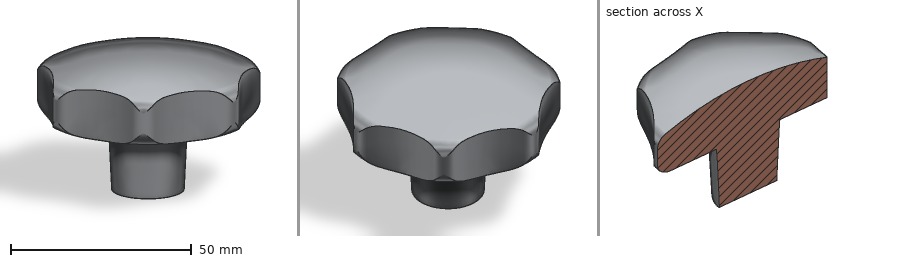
import cadquery as cq
import math

lobe_count = 7
head_radius = 31.5
scallop_depth = 4.2
lobe_tip_radius = 4.6
total_height = 40.0
stem_height = 20.95
stem_bottom_radius = 10.05
stem_top_radius = 11.05
dome_radius = 82.5
rim_radius = 4.5


def polar(radius, angle):
    return (radius * math.cos(angle), radius * math.sin(angle))


def make_turned_body():
    """Tapered stem and domed head as one body of revolution about Z."""
    rim_center_x = head_radius - rim_radius
    dome_center_z = total_height - dome_radius
    dome_edge_angle = math.asin(rim_center_x / (dome_radius - rim_radius))
    upper_rim_z = dome_center_z + (dome_radius - rim_radius) * math.cos(dome_edge_angle)
    lower_rim_z = stem_height + rim_radius

    def on_dome(angle):
        return (dome_radius * math.sin(angle), dome_center_z + dome_radius * math.cos(angle))

    def on_rim(center_z, angle):
        x, z = polar(rim_radius, angle)
        return (rim_center_x + x, center_z + z)

    upper_rim_start = math.pi / 2 - dome_edge_angle
    profile = (
        cq.Workplane("XZ")
        .lineTo(stem_bottom_radius, 0)
        .lineTo(stem_top_radius, stem_height)
        .lineTo(rim_center_x, stem_height)
        .threePointArc(on_rim(lower_rim_z, -math.pi / 4), on_rim(lower_rim_z, 0))
        .lineTo(head_radius, upper_rim_z)
        .threePointArc(on_rim(upper_rim_z, upper_rim_start / 2), on_rim(upper_rim_z, upper_rim_start))
        .threePointArc(on_dome(dome_edge_angle / 2), (0, total_height))
        .close()
    )
    return profile.revolve(360, (0, 0, 0), (0, 1, 0))


def make_star_prism():
    """Prism with rounded lobes joined by tangent scallops; one lobe points to +Y."""
    half_pitch = math.pi / lobe_count
    tip_center_radius = head_radius - lobe_tip_radius
    scallop_bottom_radius = head_radius - scallop_depth

    along, across = polar(tip_center_radius, half_pitch)
    inset = scallop_bottom_radius - along
    scallop_radius = (across**2 + inset**2 - lobe_tip_radius**2) / (2 * (lobe_tip_radius - inset))

    scallop_center = scallop_bottom_radius + scallop_radius
    share = scallop_radius / (scallop_radius + lobe_tip_radius)
    joint_along = scallop_center + share * (along - scallop_center)
    joint_across = share * across
    joint_radius = math.hypot(joint_along, joint_across)
    joint_angle = half_pitch - math.atan2(joint_across, joint_along)

    first_lobe = math.pi / 2
    outline = cq.Workplane("XY").moveTo(*polar(joint_radius, first_lobe - joint_angle))
    for i in range(lobe_count):
        lobe = first_lobe + 2 * half_pitch * i
        next_lobe = lobe + 2 * half_pitch
        outline = outline.threePointArc(
            polar(head_radius, lobe), polar(joint_radius, lobe + joint_angle)
        ).threePointArc(
            polar(scallop_bottom_radius, lobe + half_pitch),
            polar(joint_radius, next_lobe - joint_angle),
        )
    return outline.close().extrude(total_height)


result = make_turned_body().intersect(make_star_prism())